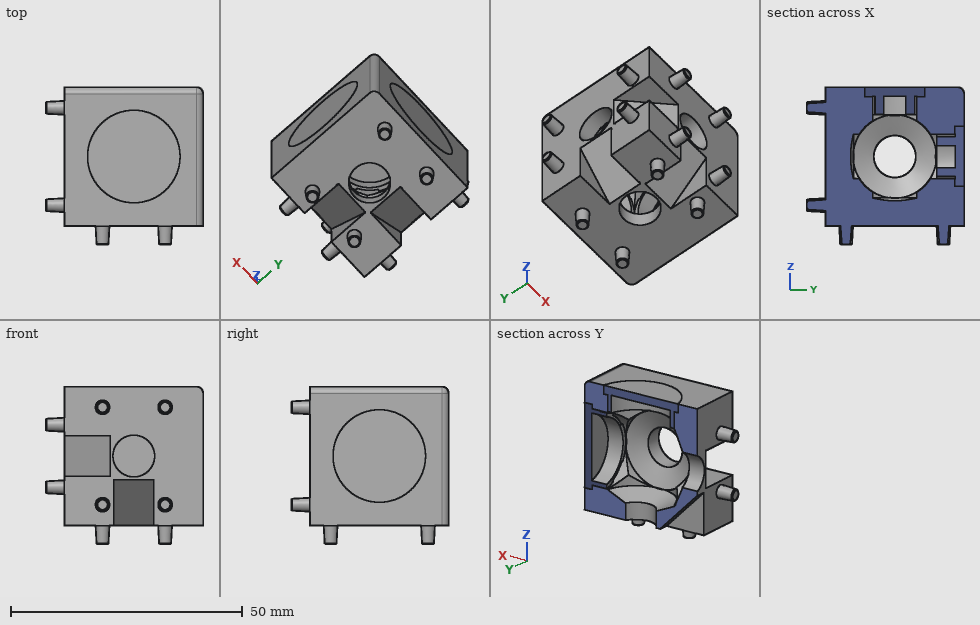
import cadquery as cq
import math

CUBE = 30.0
PIN_LENGTH = 4.0
HALF = CUBE / 2
EDGE_RADIUS = 1.5

SCREW_HOLE_DIAMETER = 9.0
WALL_THICKNESS = 4.0
BORE_DIAMETER = 18.0
CONE_ANGLE = 130
CONE_LENGTH = (BORE_DIAMETER - SCREW_HOLE_DIAMETER) / 2 / math.tan(math.radians(CONE_ANGLE / 2))

FLANGE_DIAMETER = 20.0
FLANGE_THICKNESS = 2.0
PLUG_OUTER_DIAMETER = 17.2
PLUG_INNER_DIAMETER = 16.0
CAP_HEIGHT = 6.0
TAB_WIDTH = 8.65

NOTCH_LENGTH = 8.65
NOTCH_DIAGONAL = 14.0
NOTCH_LEG = NOTCH_DIAGONAL / math.sqrt(2)

PIN_BASE_DIAMETER = 3.05
PIN_TIP_DIAMETER = 2.65
PIN_TIP_CHAMFER = 0.25
PIN_NARROW_SPACING = 13.5
PIN_WIDE_SPACING = 21.0

DIAGONAL_TURN = 120


def on_three_axes(shape):
    """Copies of a shape turned about the (1, 1, 1) diagonal, one for each axis."""
    return [shape.rotate((0, 0, 0), (1, 1, 1), DIAGONAL_TURN * i) for i in range(3)]


def revolve_about_z(profile):
    return cq.Workplane("XZ").polyline(profile).close().revolve(360, (0, 0, 0), (0, 1, 0))


def make_pin():
    """A tapered pin on the -Z face, pointing down."""
    base_r = PIN_BASE_DIAMETER / 2
    tip_r = PIN_TIP_DIAMETER / 2
    pin = revolve_about_z([
        (0, 0),
        (base_r, 0),
        (tip_r, -PIN_LENGTH + PIN_TIP_CHAMFER),
        (tip_r - PIN_TIP_CHAMFER, -PIN_LENGTH),
        (0, -PIN_LENGTH),
    ])
    return pin.translate((0, 0, -HALF))


def make_pins():
    """Four pins on each of the -X, -Y and -Z faces."""
    pin = make_pin()
    pins = []
    for narrow in (-PIN_NARROW_SPACING / 2, PIN_NARROW_SPACING / 2):
        for wide in (-PIN_WIDE_SPACING / 2, PIN_WIDE_SPACING / 2):
            on_bottom = pin.translate((narrow, wide, 0))
            on_front = on_bottom.rotate((0, 0, 0), (1, 0, 0), -90)
            on_left = on_bottom.rotate((0, 0, 0), (0, 1, 0), 90)
            pins += [on_bottom, on_front, on_left]
    return pins


def make_passage():
    """Screw hole from the -Z face, opening through a cone into the wide bore from the +Z face."""
    hole_r = SCREW_HOLE_DIAMETER / 2
    bore_r = BORE_DIAMETER / 2
    flange_r = FLANGE_DIAMETER / 2
    flange_bottom = HALF - FLANGE_THICKNESS
    cone_start = WALL_THICKNESS - HALF
    cone_end = cone_start + CONE_LENGTH
    return revolve_about_z([
        (0, -HALF),
        (hole_r, -HALF),
        (hole_r, cone_start),
        (bore_r, cone_end),
        (bore_r, flange_bottom),
        (flange_r, flange_bottom),
        (flange_r, HALF),
        (0, HALF),
    ])


def make_notch():
    """A triangular prism across the middle of the edge between the -X and -Y faces."""
    corner = [(-HALF, -HALF), (-HALF + NOTCH_LEG, -HALF), (-HALF, -HALF + NOTCH_LEG)]
    return cq.Workplane("XY").polyline(corner).close().extrude(NOTCH_LENGTH / 2, both=True)


def make_housing():
    body = cq.Workplane("XY").box(CUBE, CUBE, CUBE)
    body = body.edges("(>X and >Y) or (>X and >Z) or (>Y and >Z)").fillet(EDGE_RADIUS)
    for notch in on_three_axes(make_notch()):
        body = body.cut(notch)
    for passage in on_three_axes(make_passage()):
        body = body.cut(passage)
    for pin in make_pins():
        body = body.union(pin)
    return body


def tube_down(outer_diameter, inner_diameter, height):
    """A tube hanging below the flange."""
    ring = cq.Workplane("XY").workplane(offset=HALF - FLANGE_THICKNESS)
    return ring.circle(outer_diameter / 2).circle(inner_diameter / 2).extrude(-height)


def make_cap():
    """The cap in the +Z face."""
    plug_height = CAP_HEIGHT - FLANGE_THICKNESS
    flange = cq.Workplane("XY").workplane(offset=HALF - FLANGE_THICKNESS)
    flange = flange.circle(FLANGE_DIAMETER / 2).extrude(FLANGE_THICKNESS)
    plug = tube_down(PLUG_OUTER_DIAMETER, PLUG_INNER_DIAMETER, plug_height)
    tabs = tube_down(BORE_DIAMETER, PLUG_INNER_DIAMETER, plug_height)
    bar_along_x = cq.Workplane("XY").box(CUBE, TAB_WIDTH, CUBE)
    bar_along_y = cq.Workplane("XY").box(TAB_WIDTH, CUBE, CUBE)
    tabs = tabs.intersect(bar_along_x.union(bar_along_y))
    return flange.union(plug).union(tabs)


housing = make_housing()
caps = on_three_axes(make_cap())

result = cq.Compound.makeCompound([housing.val(), *[cap.val() for cap in caps]])